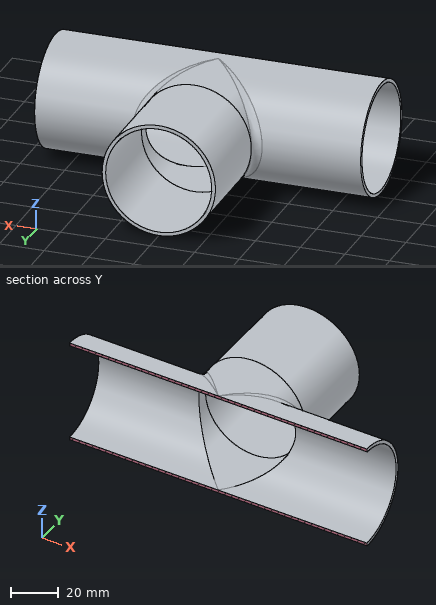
import cadquery as cq
import math

outer_diameter = 50.8
bore_diameter = 47.5

run_length = 146.0
branch_reach = run_length / 2
outlet_height = 29.0
crotch_radius = 3.5

outer_radius = outer_diameter / 2
ball_track = outer_radius + crotch_radius
contact_slope = outer_radius / ball_track
ball_touch = ball_track * contact_slope
joining_tolerance = 0.001
track_end_angle = 100


def run_cylinder(diameter):
    """Cylinder along X, centred on the origin."""
    return cq.Workplane("YZ").circle(diameter / 2).extrude(run_length / 2, both=True)


def branch_cylinder(diameter, start, end):
    """Cylinder along +Y between two distances from the run axis."""
    plane = cq.Plane(origin=(0, start, 0), xDir=(1, 0, 0), normal=(0, 1, 0))
    return cq.Workplane(plane).circle(diameter / 2).extrude(end - start)


def upright_prism(points):
    """Polygon in the XY plane, extruded past the pipes both ways along Z."""
    return cq.Workplane("XY").polyline(points).close().extrude(outer_diameter, both=True)


def make_crotch_wedge():
    """Blended piece at +X between the two planes where the blend leaves the pipes.

    A ball rolling along both pipes has its centre on an ellipse in the plane
    x = y, and touches the run in the plane y = contact_slope * x and the branch
    in the plane x = contact_slope * y.
    """
    blank = upright_prism([(0, 0), (ball_track, ball_touch), (ball_touch, ball_track)])
    track_plane = cq.Plane(origin=(0, 0, 0), xDir=(1, 1, 0), normal=(1, -1, 0))
    track_half_width = math.sqrt(2) * ball_track
    within_track = cq.Workplane(track_plane).ellipse(track_half_width, ball_track)
    within_track = within_track.extrude(outer_diameter, both=True)
    track = cq.Workplane(track_plane).ellipseArc(
        track_half_width, ball_track, -track_end_angle, track_end_angle, startAtCurrent=False
    )
    start = track.val().startPoint()
    ball_section = cq.Plane(origin=start.toTuple(), normal=track.val().tangentAt(0).toTuple())
    ball_sweep = cq.Workplane(ball_section).circle(crotch_radius).sweep(track)
    pieces = blank.intersect(within_track).cut(ball_sweep)
    return pieces.solids(cq.selectors.NearestToPointSelector((0, 0, 0)))


def make_tee():
    """Run pipe with a short blended outlet, bored through in both directions."""
    reach = outer_diameter
    run_side = [
        (0, 0),
        (reach, reach * contact_slope),
        (reach, reach),
        (-reach, reach),
        (-reach, reach * contact_slope),
    ]
    branch_side = [(0, 0), (reach * contact_slope, reach), (-reach * contact_slope, reach)]
    run = run_cylinder(outer_diameter).cut(upright_prism(run_side))
    outlet = branch_cylinder(outer_diameter, 0, outlet_height).intersect(upright_prism(branch_side))
    wedge = make_crotch_wedge()
    outside = run
    for piece in (wedge, wedge.mirror("YZ"), outlet):
        outside = outside.union(piece, tol=joining_tolerance)
    return outside.cut(run_cylinder(bore_diameter)).cut(branch_cylinder(bore_diameter, 0, outlet_height))


def make_branch_pipe():
    """Straight pipe that continues the outlet to the open end of the branch."""
    outside = branch_cylinder(outer_diameter, outlet_height, branch_reach)
    return outside.cut(branch_cylinder(bore_diameter, outlet_height, branch_reach))


tee = make_tee()
branch_pipe = make_branch_pipe()

result = cq.Compound.makeCompound([tee.val(), branch_pipe.val()])